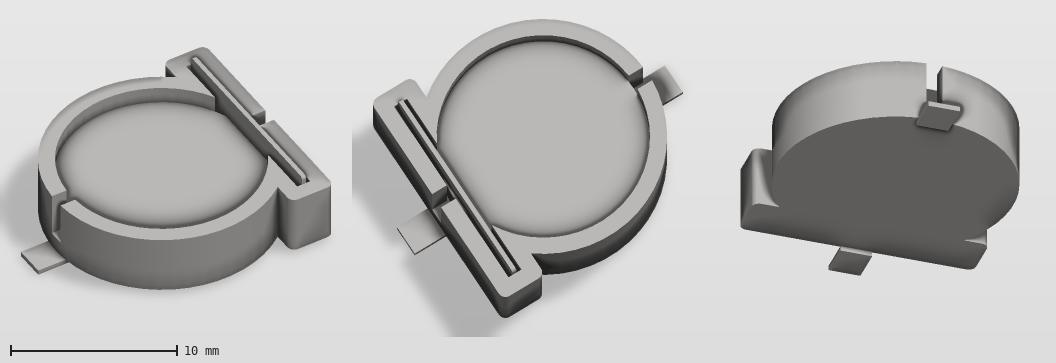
import cadquery as cq


total_height = 4.85
tab_thickness = 0.32
pocket_floor_z = 1.35
cell_top_z = 3.17
body_top_z = 4.3

housing_radius = 7.45
cell_radius = 6.42

block_front_y = 4.6
block_back_y = 7.6
block_corner_radius = 0.48

slot_front_y = 5.63
slot_back_y = 6.55
plate_front_y = 5.98
plate_thickness = 0.29
plate_corner_radius = 0.23

notch_width = 1.0

total_length = 19.1
tab_width = 2.0
tab_length = 2.27
rear_tab_end_y = 9.8


def box(width, y_start, y_end, z_start, z_end):
    """Box centred on X, spanning the given Y and Z ranges."""
    return (
        cq.Workplane("XY")
        .box(width, y_end - y_start, z_end - z_start, centered=(True, False, False))
        .translate((0, y_start, z_start))
    )


def disc(radius, z_start, z_end):
    """Cylinder on the cell axis."""
    return cq.Workplane("XY", origin=(0, 0, z_start)).circle(radius).extrude(z_end - z_start)


def make_housing():
    """Round cup joined to the block, hollowed for the cell and the contact plate."""
    block = box(2 * housing_radius, block_front_y, block_back_y, tab_thickness, body_top_z)
    block = block.edges("|Z").fillet(block_corner_radius)
    body = disc(housing_radius, tab_thickness, body_top_z).union(block)

    pocket = disc(cell_radius, pocket_floor_z, body_top_z)
    slot = box(2 * cell_radius, slot_front_y, slot_back_y, pocket_floor_z, body_top_z)
    notch = box(notch_width, -housing_radius, block_back_y, pocket_floor_z, body_top_z)
    return body.cut(pocket).cut(slot).cut(notch)


def make_contact_plate():
    """Upright plate across the slot, with rounded upper corners."""
    plate_back_y = plate_front_y + plate_thickness
    plate = box(2 * cell_radius, plate_front_y, plate_back_y, pocket_floor_z, total_height)
    return plate.edges("|Y and >Z").fillet(plate_corner_radius)


def make_tabs():
    """Flat solder tabs under the front and rear edges of the housing."""
    front_tab_end_y = rear_tab_end_y - total_length
    rear_tab = box(tab_width, rear_tab_end_y - tab_length, rear_tab_end_y, 0, tab_thickness)
    front_tab = box(tab_width, front_tab_end_y, front_tab_end_y + tab_length, 0, tab_thickness)
    return rear_tab.union(front_tab)


cell = disc(cell_radius, pocket_floor_z, cell_top_z)

result = make_housing().union(cell).union(make_contact_plate()).union(make_tabs())